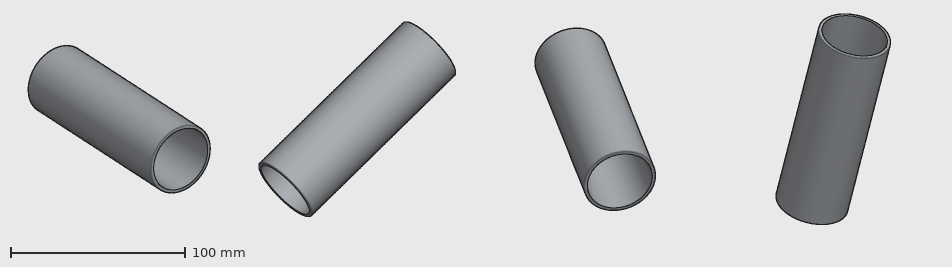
import cadquery as cq

length = 120.0
outer_diameter = 42.4
wall_thickness = 2.0
rim_radius = 0.3

inner_diameter = outer_diameter - 2 * wall_thickness

tube = (
    cq.Workplane("YZ", origin=(-length / 2, 0, 0))
    .circle(outer_diameter / 2)
    .circle(inner_diameter / 2)
    .extrude(length)
)

outer_rims = cq.selectors.RadiusNthSelector(-1)
result = tube.edges("%CIRCLE").edges(outer_rims).fillet(rim_radius)